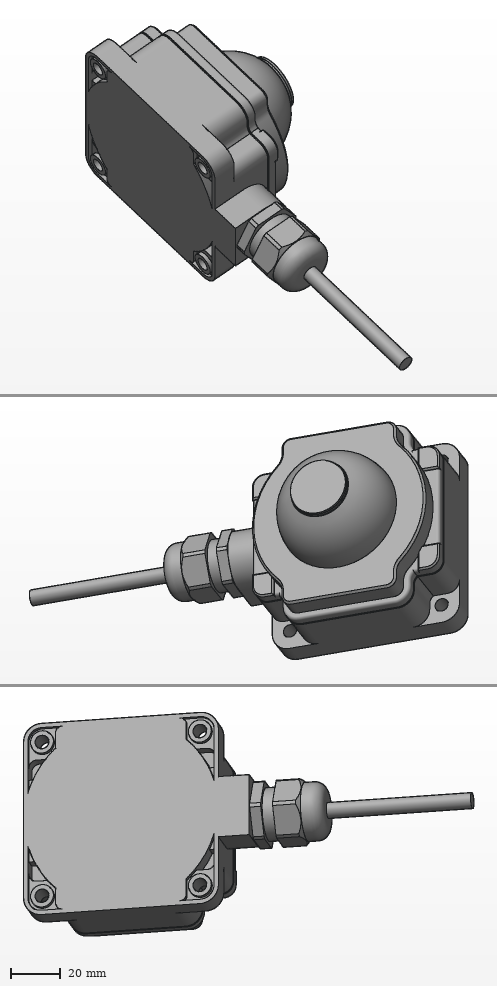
import cadquery as cq
import math

HOUSING_X = 80.3
HOUSING_Z = 80.8
TOTAL_LENGTH = 181.6
TOTAL_DEPTH = 65.5
HALF_X = HOUSING_X / 2
HALF_Z = HOUSING_Z / 2
CABLE_END = TOTAL_LENGTH - HALF_X

FLANGE_DEPTH = 10.2
SEAM_Y = 28.0
LID_TOP = 32.7
PLATE_TOP = 41.8
DOME_RIM_Y = 63.4

FLANGE_RADIUS = 7.5
SCREW_OFFSET = 32.5
SCREW_DIAMETER = 5.6
SCREW_BOSS_RADIUS = 4.7

BAR_HALF_WIDTH = 27.5
BAR_CORNER_RADIUS = 6.9
BLEND_RADIUS = 4.2
CROSSBAR_HALF_WIDTH = 27.8
CROSSBAR_CORNER_RADIUS = 5.3

SEAM_WIDTH = 0.5
SEAM_DEPTH = 0.2
LID_FILLET = 1.3
PAD_TOP = 33.8
PAD_INNER_Z = 16.9
PAD_INNER_X = 30.9
PAD_CHAMFER = 0.7
PLATE_INSET = 2.9
PLATE_CHAMFER = 0.9

DOME_RADIUS = 24.9
RIM_RADIUS = 12.0
RIM_STEP = 0.2
RIM_STEP_Y = 64.5

RECESS_MARGIN = 1.8
RECESS_ARC_RADIUS = 40.0
RECESS_INNER_X = 26.9
RECESS_DEPTH = 1.8
RECESS_FLARE = 2.5
DEEP_RECESS_DEPTH = 7.3
DEEP_RECESS_LOW_Z = 17.3
DEEP_RECESS_HIGH_Z = 25.6
DEEP_RECESS_RADIUS = 3.3

GLAND_Y = 14.5
OUTLET_HALF_WIDTH = 12.7
OUTLET_END = 52.9
LOCKNUT_END = 57.4
NECK_END = 62.3
NUT_END = 73.4
CAP_END = 82.1
HEX_FLATS = 24.5
HEX_CORNER_DIAMETER = 27.5
HEX_CHAMFER = 1.6
NECK_RADIUS = 10.9
CAP_RADIUS = 12.0
CAP_FILLET = 4.9
CABLE_RADIUS = 3.3

CORNER_SIGNS = [(sx, sz) for sx in (-1, 1) for sz in (-1, 1)]


def plane_at(y):
    """Sketch plane facing +Y whose local axes are X and -Z."""
    return cq.Workplane(cq.Plane((0, y, 0), xDir=(1, 0, 0), normal=(0, 1, 0)))


def block(x_range, y_range, z_range):
    """Box spanning the given (low, high) limits."""
    sizes = [high - low for low, high in (x_range, y_range, z_range)]
    corner = (x_range[0], y_range[0], z_range[0])
    return cq.Workplane().box(*sizes, centered=False).translate(corner)


def rod(radius, start, end):
    """Cylinder along X on the gland axis."""
    plane = cq.Plane((start, GLAND_Y, 0), xDir=(0, 1, 0), normal=(1, 0, 0))
    return cq.Workplane(plane).circle(radius).extrude(end - start)


def mirror_to_corners(shape):
    """Copies a shape made in the +X +Z corner to all four corners."""
    pair = shape.union(shape.mirror("YZ"))
    return pair.union(pair.mirror("XY"))


def bar_and_disc(start, end, inset=0.0):
    """Slice of a rounded bar along Z blended into a disc, shrunk by an inset."""
    half_width = BAR_HALF_WIDTH - inset
    radius = HALF_X - inset
    bar = plane_at(start).rect(2 * half_width, HOUSING_Z - 2 * inset).extrude(end - start)
    bar = bar.edges("|Y").fillet(BAR_CORNER_RADIUS - inset)
    prism = bar.union(plane_at(start).circle(radius).extrude(end - start))
    meeting_z = math.sqrt(radius**2 - half_width**2)
    seams = prism.edges("|Y").filter(lambda e: math.isclose(abs(e.Center().z), meeting_z, abs_tol=0.002))
    return prism.newObject(seams.vals()).fillet(BLEND_RADIUS + inset)


def crossbar(start, end, inset=0.0):
    """Slice of the rounded bar along X that fills the housing sides, shrunk by an inset."""
    half_width = CROSSBAR_HALF_WIDTH - inset
    bar = plane_at(start).rect(HOUSING_X - 2 * inset, 2 * half_width).extrude(end - start)
    return bar.edges("|Y").fillet(CROSSBAR_CORNER_RADIUS - inset)


def housing_prism(start, end, inset=0.0):
    """Slice of the housing outline with its notched corners."""
    return bar_and_disc(start, end, inset).union(crossbar(start, end, inset))


def housing():
    flange = plane_at(0).rect(HOUSING_X, HOUSING_Z).extrude(FLANGE_DEPTH)
    flange = flange.edges("|Y").fillet(FLANGE_RADIUS)
    lower = housing_prism(FLANGE_DEPTH, SEAM_Y)
    seam = housing_prism(SEAM_Y, SEAM_Y + SEAM_WIDTH, SEAM_DEPTH)
    lid = housing_prism(SEAM_Y + SEAM_WIDTH, LID_TOP).faces(">Y").edges().fillet(LID_FILLET)
    return flange.union(lower).union(seam).union(lid)


def lid_pads():
    """Raised pads on the lid beside the corner notches."""
    base = LID_TOP - LID_FILLET
    zone = block((PAD_INNER_X, HALF_X), (base, PAD_TOP), (PAD_INNER_Z, CROSSBAR_HALF_WIDTH))
    pads = mirror_to_corners(zone).intersect(crossbar(base, PAD_TOP))
    return pads.faces(">Y").edges().chamfer(PAD_CHAMFER)


def top_plate():
    """Raised plate that follows the bar and disc of the housing at a constant inset."""
    return bar_and_disc(LID_TOP, PLATE_TOP, PLATE_INSET).faces(">Y").edges().chamfer(PLATE_CHAMFER)


def dome():
    """Truncated half ball with a stepped rim, turned about Y."""
    cut_radius = math.sqrt(DOME_RADIUS**2 - (DOME_RIM_Y - PLATE_TOP) ** 2)
    mid_angle = math.atan2(DOME_RIM_Y - PLATE_TOP, cut_radius) / 2
    mid_point = (DOME_RADIUS * math.cos(mid_angle), PLATE_TOP + DOME_RADIUS * math.sin(mid_angle))
    profile = (
        cq.Workplane("XY")
        .moveTo(0, PLATE_TOP)
        .lineTo(DOME_RADIUS, PLATE_TOP)
        .threePointArc(mid_point, (cut_radius, DOME_RIM_Y))
        .lineTo(RIM_RADIUS, DOME_RIM_Y)
        .lineTo(RIM_RADIUS, RIM_STEP_Y)
        .lineTo(RIM_RADIUS - RIM_STEP, RIM_STEP_Y)
        .lineTo(RIM_RADIUS - RIM_STEP, TOTAL_DEPTH)
        .lineTo(0, TOTAL_DEPTH)
        .close()
    )
    return profile.revolve(360, (0, 0, 0), (0, 1, 0))


def front_recesses():
    """Corner recesses around the screws, each with a deeper pocket beside it."""
    limit_x = HALF_X - RECESS_MARGIN
    limit_z = HALF_Z - RECESS_MARGIN
    flare_x = RECESS_INNER_X - RECESS_FLARE
    core = plane_at(0).circle(RECESS_ARC_RADIUS).extrude(DEEP_RECESS_DEPTH)
    boss = plane_at(0).center(SCREW_OFFSET, -SCREW_OFFSET).circle(SCREW_BOSS_RADIUS)
    shallow = block((flare_x, limit_x), (0, RECESS_DEPTH), (0, limit_z))
    below_flare = block((flare_x, RECESS_INNER_X), (0, RECESS_DEPTH), (0, limit_z - RECESS_FLARE))
    flare = plane_at(0).center(flare_x, RECESS_FLARE - limit_z).circle(RECESS_FLARE)
    shallow = shallow.cut(below_flare).cut(flare.extrude(RECESS_DEPTH))
    shallow = shallow.edges("|Y and >X and >Z").fillet(FLANGE_RADIUS - RECESS_MARGIN)
    shallow = shallow.cut(core).cut(boss.extrude(RECESS_DEPTH))
    deep = block((RECESS_INNER_X, limit_x), (0, DEEP_RECESS_DEPTH), (DEEP_RECESS_LOW_Z, DEEP_RECESS_HIGH_Z))
    deep = deep.edges("|Y and >X and >Z").fillet(DEEP_RECESS_RADIUS).cut(core)
    return mirror_to_corners(shallow.union(deep))


def screw_holes():
    centres = [(sx * SCREW_OFFSET, sz * SCREW_OFFSET) for sx, sz in CORNER_SIGNS]
    return plane_at(0).pushPoints(centres).circle(SCREW_DIAMETER / 2).extrude(FLANGE_DEPTH)


def cable_outlet():
    """Block with a half-round back that carries the gland."""
    start = HALF_X - RECESS_MARGIN
    base = block((start, OUTLET_END), (0, GLAND_Y), (-OUTLET_HALF_WIDTH, OUTLET_HALF_WIDTH))
    base = base.cut(block((start, HALF_X), (0, FLANGE_DEPTH), (-HALF_Z, HALF_Z)))
    return base.union(rod(OUTLET_HALF_WIDTH, start, OUTLET_END))


def hexagon(start, end, chamfer=0.0):
    """Hexagonal prism with rounded corners and flats facing Z."""
    across_corners = HEX_FLATS / math.cos(math.pi / 6)
    plane = cq.Plane((start, GLAND_Y, 0), xDir=(0, 1, 0), normal=(1, 0, 0))
    prism = cq.Workplane(plane).polygon(6, across_corners).extrude(end - start)
    envelope = rod(HEX_CORNER_DIAMETER / 2, start, end)
    if chamfer:
        envelope = envelope.faces(">X").edges().chamfer(chamfer)
    return prism.intersect(envelope)


def gland():
    locknut = hexagon(OUTLET_END, LOCKNUT_END)
    neck = rod(NECK_RADIUS, LOCKNUT_END, NECK_END)
    nut = hexagon(NECK_END, NUT_END, HEX_CHAMFER)
    cap = rod(CAP_RADIUS, NUT_END, CAP_END).faces(">X").edges().fillet(CAP_FILLET)
    cable = rod(CABLE_RADIUS, CAP_END, CABLE_END)
    return locknut.union(neck).union(nut).union(cap).union(cable)


result = housing().union(lid_pads()).union(top_plate()).union(dome())
result = result.union(cable_outlet()).union(gland())
result = result.cut(front_recesses()).cut(screw_holes())